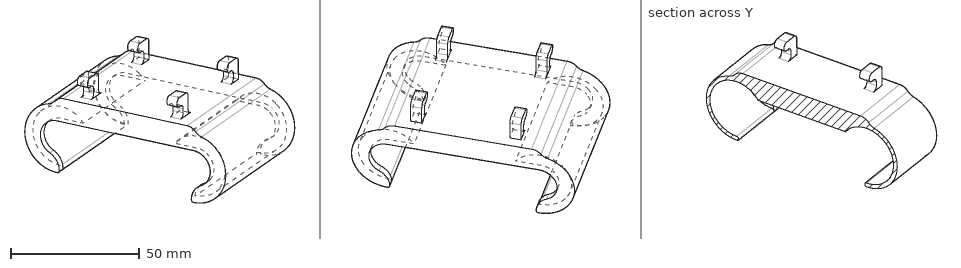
import cadquery as cq
import math

length_x = 90.0
width_y = 55.0
plate_top = 31.9
plate_thickness = 10.0

arm_outer_radius = 14.5
arm_inner_radius = plate_top - plate_thickness - arm_outer_radius
arm_center = (-length_x / 2 + arm_outer_radius, arm_outer_radius)

shoulder_radius = 5.0
plate_top_half_length = 27.6

lip_radius = 7.5
lip_start_angle = 244.3
tip_radius = 1.0

end_wall = 3.0
pocket_shell = 2 * tip_radius

hook_width = 4.5
hook_height = 9.5
hook_reach = 9.0
neck_thickness = 4.0
nose_thickness = 4.0
hook_fillet = 2.0
hook_spacing = 40.0
front_hook_back_y = -17.0


def toward(start, end, distance):
    """Point at a distance from start, along the line to end."""
    span = math.dist(start, end)
    return tuple(s + (e - s) * distance / span for s, e in zip(start, end))


def polar(center, radius, angle):
    """Point on a circle at an angle in degrees."""
    turn = math.radians(angle)
    return (center[0] + radius * math.cos(turn), center[1] + radius * math.sin(turn))


def left_of_line(start, end, start_distance, end_distance):
    """Point left of the line start-end at the given distance from each end."""
    span = math.dist(start, end)
    along = (start_distance**2 - end_distance**2 + span**2) / (2 * span)
    offset = math.sqrt(start_distance**2 - along**2)
    unit_x = (end[0] - start[0]) / span
    unit_z = (end[1] - start[1]) / span
    return (
        start[0] + along * unit_x - offset * unit_z,
        start[1] + along * unit_z + offset * unit_x,
    )


def arc_middle(center, start, end):
    """Middle of the shorter arc from start to end."""
    chord_middle = ((start[0] + end[0]) / 2, (start[1] + end[1]) / 2)
    return toward(center, chord_middle, math.dist(center, start))


lip_center = polar(arm_center, arm_inner_radius + lip_radius, lip_start_angle)
lip_start = polar(arm_center, arm_inner_radius, lip_start_angle)
tip_center = left_of_line(
    arm_center, lip_center, arm_outer_radius - tip_radius, lip_radius - tip_radius
)
tip_outer = toward(arm_center, tip_center, arm_outer_radius)
tip_inner = toward(lip_center, tip_center, lip_radius)


def make_half_body():
    """Left half of the constant section, extruded across the width."""
    crest_center = (-plate_top_half_length, plate_top - shoulder_radius)
    crest_start = (-plate_top_half_length, plate_top)
    valley_center = left_of_line(
        arm_center, crest_center, arm_outer_radius + shoulder_radius, 2 * shoulder_radius
    )
    crest_end = toward(crest_center, valley_center, shoulder_radius)
    valley_end = toward(arm_center, valley_center, arm_outer_radius)

    arm_left = (-length_x / 2, arm_center[1])
    inner_left = (arm_center[0] - arm_inner_radius, arm_center[1])
    plate_bottom = plate_top - plate_thickness
    return (
        cq.Workplane("XZ")
        .moveTo(0, plate_top)
        .lineTo(*crest_start)
        .threePointArc(arc_middle(crest_center, crest_start, crest_end), crest_end)
        .threePointArc(arc_middle(valley_center, crest_end, valley_end), valley_end)
        .threePointArc(arm_left, tip_outer)
        .threePointArc(arc_middle(tip_center, tip_outer, tip_inner), tip_inner)
        .threePointArc(arc_middle(lip_center, tip_inner, lip_start), lip_start)
        .threePointArc(inner_left, (arm_center[0], plate_bottom))
        .lineTo(0, plate_bottom)
        .close()
        .extrude(width_y / 2, both=True)
    )


def make_arm_pocket():
    """Pocket concentric with the left arm that leaves the shell's free edge fully round."""
    radius = arm_outer_radius - pocket_shell
    edge_end = toward(arm_center, tip_center, radius)
    left = (arm_center[0] - radius, arm_center[1])
    top = (arm_center[0], arm_center[1] + radius)
    right = (arm_center[0] + radius, arm_center[1])
    return (
        cq.Workplane("XZ")
        .moveTo(*tip_inner)
        .threePointArc(arc_middle(tip_center, tip_inner, edge_end), edge_end)
        .threePointArc(left, top)
        .threePointArc(polar(arm_center, radius, 45), right)
        .lineTo(right[0], tip_inner[1])
        .close()
        .extrude(width_y / 2 - end_wall, both=True)
    )


def make_hook(center_x, back_y, has_back_fillet):
    """Hook with its nose toward -Y, optionally with a fillet behind its foot."""
    neck_y = back_y - neck_thickness
    nose_y = back_y - hook_reach
    top = plate_top + hook_height
    nose_bottom = top - nose_thickness
    nose_radius = nose_thickness / 2
    r = hook_fillet
    outline = cq.Workplane("YZ", origin=(center_x - hook_width / 2, 0, 0))
    if has_back_fillet:
        outline = outline.moveTo(back_y + r, plate_top)
        outline = outline.radiusArc((back_y, plate_top + r), r)
    else:
        outline = outline.moveTo(back_y, plate_top)
    return (
        outline.lineTo(back_y, top - r)
        .radiusArc((back_y - r, top), -r)
        .lineTo(nose_y + nose_radius, top)
        .threePointArc((nose_y, top - nose_radius), (nose_y + nose_radius, nose_bottom))
        .lineTo(neck_y - r, nose_bottom)
        .radiusArc((neck_y, nose_bottom - r), r)
        .lineTo(neck_y, plate_top + r)
        .radiusArc((neck_y - r, plate_top), r)
        .close()
        .extrude(hook_width)
    )


half_body = make_half_body().cut(make_arm_pocket())
result = half_body.union(half_body.mirror("YZ"))
for hook_x in (-hook_spacing / 2, hook_spacing / 2):
    result = result.union(make_hook(hook_x, front_hook_back_y, True))
    result = result.union(make_hook(hook_x, front_hook_back_y + hook_spacing, False))
result = result.clean()